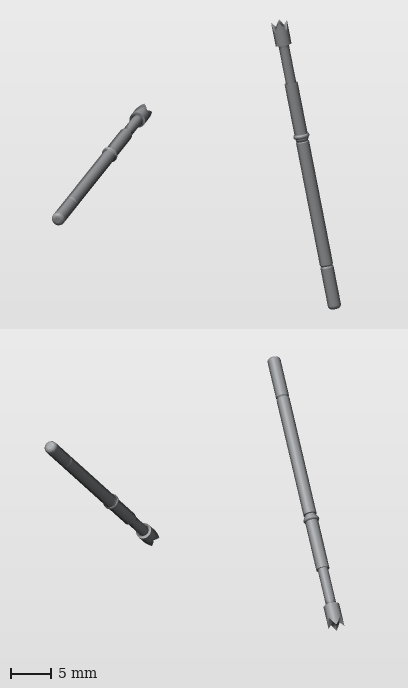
import cadquery as cq
import math

total_length = 37.0

head_radius = 1.0
head_length = 3.0
plunger_radius = 0.65
exposed_length = 5.0
crown_notch_angle = 60.0
crown_notch_turns = (45.0, 135.0)
crown_notch_half_width = head_radius / math.sqrt(2)
crown_notch_depth = crown_notch_half_width / math.tan(math.radians(crown_notch_angle / 2))

barrel_radius = 0.825
tail_fillet = 0.47
barrel_top = total_length - head_length - exposed_length

ring_radius = 1.0
ring_width = 0.54
ring_setback = 6.5
ring_top = barrel_top - ring_setback
ring_bottom = ring_top - ring_width

stop_groove_gap = 0.3
stop_groove_center = ring_bottom - stop_groove_gap
stop_groove_width = 0.35
stop_groove_bottom_shift = -0.09
stop_groove_depth = 0.14

crimp_center = 5.53
crimp_width = 0.4
crimp_depth = 0.1


def cylinder(radius, bottom, top):
    """Solid cylinder on the Y axis between two heights."""
    return cq.Workplane("XZ", origin=(0, top, 0)).circle(radius).extrude(top - bottom)


def revolve_outline(points):
    """Closed (radius, Y) outline turned around the Y axis."""
    return cq.Workplane("XY").polyline(points).close().revolve(360, (0, 0, 0), (0, 1, 0))


def make_barrel():
    barrel = cylinder(barrel_radius, 0, barrel_top).faces("<Y").edges().fillet(tail_fillet)
    ring = (
        cq.Workplane("XY")
        .moveTo(0, ring_bottom)
        .lineTo(barrel_radius, ring_bottom)
        .threePointArc((ring_radius, ring_bottom + ring_width / 2), (barrel_radius, ring_top))
        .lineTo(0, ring_top)
        .close()
        .revolve(360, (0, 0, 0), (0, 1, 0))
    )
    return barrel.union(ring)


def v_groove(center, width, depth, bottom_shift=0.0):
    """Ring cutter for a V in the barrel wall; bottom_shift moves the V's root along Y."""
    return revolve_outline([
        (barrel_radius, center - width / 2),
        (barrel_radius - depth, center + bottom_shift),
        (barrel_radius, center + width / 2),
    ])


def make_plunger():
    head_bottom = total_length - head_length
    rod = cylinder(plunger_radius, barrel_top, head_bottom)
    head = cylinder(head_radius, head_bottom, total_length)
    for turn in crown_notch_turns:
        head = head.cut(crown_notch().rotate((0, 0, 0), (0, 1, 0), turn))
    return rod.union(head)


def crown_notch():
    """V-shaped bar across the head; two crossed bars leave four pointed teeth."""
    overshoot = 2.0
    half_width = overshoot * crown_notch_half_width
    bottom = total_length - crown_notch_depth
    top = bottom + overshoot * crown_notch_depth
    return (
        cq.Workplane("XY")
        .moveTo(0, bottom)
        .lineTo(half_width, top)
        .lineTo(-half_width, top)
        .close()
        .extrude(2 * head_radius, both=True)
    )


barrel = make_barrel()
barrel = barrel.cut(v_groove(stop_groove_center, stop_groove_width, stop_groove_depth, stop_groove_bottom_shift))
barrel = barrel.cut(v_groove(crimp_center, crimp_width, crimp_depth))
result = barrel.union(make_plunger())